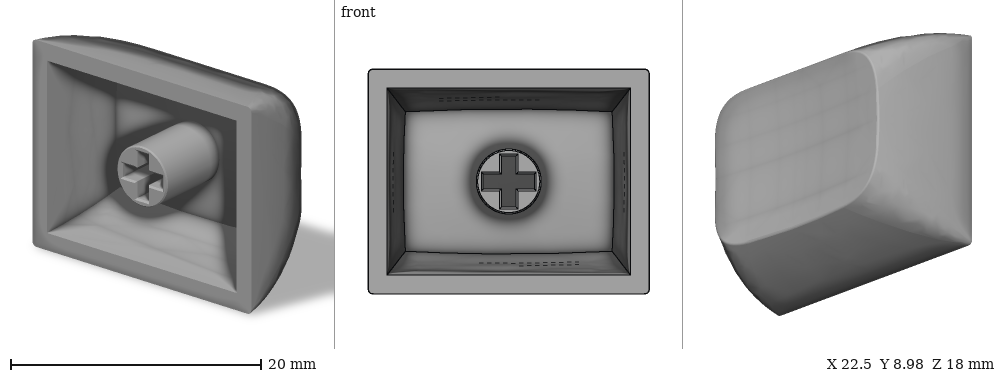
import cadquery as cq
import math

base_size = (22.5, 18.0)
blank_height = 9.18
shell_taper = (2.07, 2.59)
base_corner = 0.5
crown_corner = (3.94, 4.39)
corner_fullness = 0.72
rim_round = 0.2

dish_bottom = 8.1
dish_arc_x = 75.38
dish_arc_z = 36.68

wall = 1.5
cavity_taper = (2.27, 2.95)
crown_thickness = wall

stem_diameter = 5.2
stem_chamfer = 0.11
socket_length = 4.1
socket_slot = 1.2
socket_chamfer = 0.15

section_shares = (0, 0.5, 1)


def section_plane(share):
    """Plane across the height axis, with local axes along X and Z."""
    return cq.Workplane("XZ", origin=(0, blank_height * share, 0))


def tapered_size(size, taper, share):
    """Section size when the sides drift inward with the square of the height."""
    return [full - 2 * drift * share**2 for full, drift in zip(size, taper)]


def loft_through(wires):
    """Smooth solid through a row of closed outlines."""
    return cq.Workplane(cq.Solid.makeLoft(wires))


def shell_section(share):
    """Outline of the shell with smooth corners that grow evenly with the height."""
    half_x, half_z = [size / 2 for size in tapered_size(base_size, shell_taper, share)]
    corner_x, corner_z = [base_corner + (crown - base_corner) * share for crown in crown_corner]
    handle_x = half_x - corner_x * (1 - corner_fullness)
    handle_z = half_z - corner_z * (1 - corner_fullness)
    first_corner = [
        (half_x, half_z - corner_z),
        (half_x, handle_z),
        (handle_x, half_z),
        (half_x - corner_x, half_z),
    ]
    outline = section_plane(share).moveTo(half_x, corner_z - half_z)
    for sign_x, sign_z in ((1, 1), (-1, 1), (-1, -1), (1, -1)):
        corner = [(sign_x * x, sign_z * z) for x, z in first_corner]
        if sign_x != sign_z:
            corner.reverse()
        outline = outline.lineTo(*corner[0]).bezier(corner[1:], includeCurrent=True)
    return outline.wire().val()


def cavity_section(share):
    """Sharp-cornered outline of the cavity."""
    opening = [size - 2 * wall for size in base_size]
    return section_plane(share).rect(*tapered_size(opening, cavity_taper, share)).val()


def dish(bottom):
    """Barrel filling the space above a surface that is hollow along X and Z."""
    half = base_size[1] / 2
    rise = dish_arc_z - math.sqrt(dish_arc_z**2 - half**2)
    axis_height = bottom + dish_arc_x
    barrel = (
        cq.Workplane("YZ")
        .moveTo(bottom + rise, -half)
        .threePointArc((bottom, 0), (bottom + rise, half))
        .lineTo(axis_height, half)
        .lineTo(axis_height, -half)
        .close()
        .revolve(360, (axis_height, -half), (axis_height, half))
    )
    return barrel.rotate((0, axis_height, -half), (0, axis_height, half), 180)


def stem():
    """Round post with a cross socket through it, chamfered at the open end."""
    post = (
        section_plane(0)
        .circle(stem_diameter / 2)
        .extrude(-blank_height)
        .faces("<Y")
        .chamfer(stem_chamfer)
    )
    cross = cq.Sketch().rect(socket_length, socket_slot).rect(socket_slot, socket_length).clean()
    socket = section_plane(0).placeSketch(cross).extrude(-blank_height)
    return post.cut(socket).faces("<Y").edges("|X or |Z").chamfer(socket_chamfer)


shell = loft_through([shell_section(share) for share in section_shares])
shell = shell.cut(dish(dish_bottom)).faces(">Y").edges().fillet(rim_round)
cavity = loft_through([cavity_section(share) for share in section_shares])
cavity = cavity.cut(dish(dish_bottom - crown_thickness))

result = shell.cut(cavity.cut(stem()))